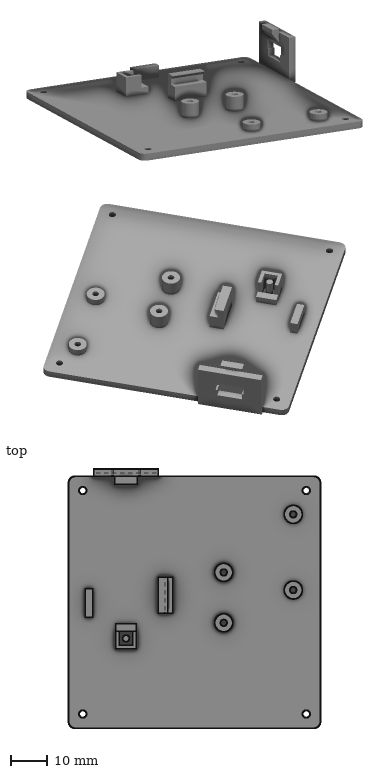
import cadquery as cq

plate_side = 70.0
plate_thickness = 2.0
plate_corner_radius = 2.0
corner_hole_diameter = 2.0
corner_hole_inset = 4.0

standoff_diameter = 5.0
pilot_diameter = 1.85
tall_standoff_top = 6.2
short_standoff_top = 4.0
tall_standoff_centers = [(43.1, 43.3), (43.1, 29.3)]
short_standoff_centers = [(62.4, 59.4), (62.4, 38.4)]

tab_width = 18.0
tab_left = 7.0
tab_thickness = 2.0
tab_top = 14.0
tab_chamfer = 1.0
tab_center = tab_left + tab_width / 2

catch_width = 6.2
catch_reach = 2.2
catch_top = 15.0
catch_lip_height = 1.3
catch_bottom = 11.0

window_width = 8.0
window_top = 10.0
window_step_height = 7.5
window_lower_width = 7.0
window_bottom = 5.5

stop_left = 4.65
stop_front = 30.8
stop_width = 2.1
stop_length = 8.0
stop_top = 5.6

rail_left = 25.0
rail_front = 32.0
rail_length = 10.0
rail_wall = 1.7
rail_top = 9.0
hook_reach = 0.9
hook_lip = 0.2
rail_foot_width = 4.0
rail_foot_top = 6.2

guide_left = 13.1
guide_front = 22.05
guide_width = 5.8
guide_length = 7.0
guide_top = 7.6
guide_step_length = 2.15
guide_step_top = 4.0
guide_wall = 1.0
guide_pin_diameter = 1.85
guide_pin_top = 6.65


def box(left, front, bottom, width, length, height):
    """Box placed by its lower left front corner."""
    return cq.Workplane("XY").box(width, length, height, centered=False).translate((left, front, bottom))


def make_plate():
    center = plate_side / 2
    hole_spacing = plate_side - 2 * corner_hole_inset
    return (
        box(0, 0, 0, plate_side, plate_side, plate_thickness)
        .edges("|Z")
        .fillet(plate_corner_radius)
        .faces(">Z")
        .workplane(origin=(center, center, plate_thickness))
        .rect(hole_spacing, hole_spacing, forConstruction=True)
        .vertices()
        .hole(corner_hole_diameter)
    )


def make_standoffs(centers, top):
    return (
        cq.Workplane("XY", origin=(0, 0, plate_thickness))
        .pushPoints(centers)
        .circle(standoff_diameter / 2)
        .circle(pilot_diameter / 2)
        .extrude(top - plate_thickness)
    )


def make_tab():
    tab = (
        box(tab_left, plate_side, 0, tab_width, tab_thickness, tab_top)
        .edges(">Y and <Z")
        .chamfer(tab_chamfer)
    )
    windows = (
        (window_width, window_step_height, window_top),
        (window_lower_width, window_bottom, window_step_height),
    )
    for width, bottom, top in windows:
        tab = tab.cut(box(tab_center - width / 2, plate_side, bottom, width, tab_thickness, top - bottom))
    return tab


def make_catch():
    tip = plate_side - catch_reach
    profile = [
        (plate_side, catch_bottom),
        (plate_side, catch_top),
        (tip, catch_top),
        (tip, catch_top - catch_lip_height),
    ]
    return (
        cq.Workplane("YZ", origin=(tab_center - catch_width / 2, 0, 0))
        .polyline(profile)
        .close()
        .extrude(catch_width)
    )


def make_rail():
    wall_right = rail_left + rail_wall
    hook_tip = wall_right + hook_reach
    foot_right = rail_left + rail_foot_width
    profile = [
        (rail_left, plate_thickness),
        (rail_left, rail_top),
        (hook_tip, rail_top),
        (hook_tip, rail_top - hook_lip),
        (wall_right, rail_top - hook_lip - hook_reach),
        (wall_right, rail_foot_top),
        (foot_right, rail_foot_top),
        (foot_right, plate_thickness),
    ]
    return (
        cq.Workplane("XZ", origin=(0, rail_front, 0))
        .polyline(profile)
        .close()
        .extrude(-rail_length)
    )


def make_guide():
    step_front = guide_front + guide_length - guide_step_length
    pocket_length = step_front - guide_front - guide_wall
    pocket_width = guide_width - 2 * guide_wall
    pocket_front = guide_front + guide_wall
    guide = box(
        guide_left, guide_front, plate_thickness, guide_width, guide_length, guide_top - plate_thickness
    )
    step_cut = box(
        guide_left, step_front, guide_step_top, guide_width, guide_step_length, guide_top - guide_step_top
    )
    pocket = box(
        guide_left + guide_wall,
        pocket_front,
        plate_thickness,
        pocket_width,
        pocket_length,
        guide_top - plate_thickness,
    )
    pin = (
        cq.Workplane("XY", origin=(0, 0, plate_thickness))
        .center(guide_left + guide_width / 2, pocket_front + pocket_length / 2)
        .circle(guide_pin_diameter / 2)
        .extrude(guide_pin_top - plate_thickness)
    )
    return guide.cut(step_cut).cut(pocket).union(pin)


features = [
    make_standoffs(tall_standoff_centers, tall_standoff_top),
    make_standoffs(short_standoff_centers, short_standoff_top),
    make_tab(),
    make_catch(),
    box(stop_left, stop_front, plate_thickness, stop_width, stop_length, stop_top - plate_thickness),
    make_rail(),
    make_guide(),
]

result = make_plate()
for feature in features:
    result = result.union(feature)